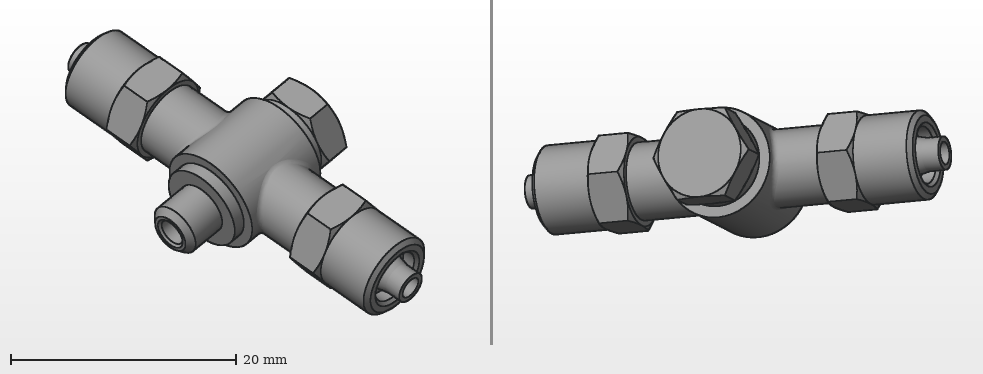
import cadquery as cq
import math


overall_length = 40.0
tip_x = overall_length / 2
hex_across_flats = 8.0
hex_chamfer_angle = 30.0

body_diameter = 10.0
body_length = 8.95
arm_diameter = 7.0
arm_fillet = 0.5
arm_bore_diameter = 2.05
selection_margin = 0.05

nut_hex_start_x = 9.3
nut_hex_length = 3.5
barb_protrusion = 1.6
nut_face_x = tip_x - barb_protrusion
nut_diameter = hex_across_flats
nut_chamfer_radial = 0.5
nut_chamfer_axial = 0.4
socket_diameter = 5.1
socket_depth = 1.6
socket_chamfer = 0.3
barb_tip_diameter = 3.0
barb_root_diameter = 3.7
barb_tip_length = barb_protrusion

washer_diameter = 8.0
washer_thickness = 1.2
head_height = 3.0
stud_diameter = 4.95
stud_length = 4.1
stud_chamfer = 0.65
stud_bore_diameter = 2.5
stud_bore_mouth_diameter = 3.0
stud_bore_end_y = arm_bore_diameter / 2

washer_end_y = body_length / 2 + washer_thickness
stud_tip_y = -washer_end_y - stud_length


def revolve_about_x(points):
    """Revolve an (x, radius) outline about the X axis."""
    return cq.Workplane("XY").polyline(points).close().revolve(360, (0, 0), (1, 0))


def revolve_about_y(points):
    """Revolve a (radius, y) outline about the Y axis."""
    return cq.Workplane("XY").polyline(points).close().revolve(360, (0, 0), (0, 1))


def cylinder_along_y(diameter, start_y, end_y):
    """Solid round bar on the Y axis."""
    radius = diameter / 2
    return revolve_about_y([(0, start_y), (radius, start_y), (radius, end_y), (0, end_y)])


def chamfered_hexagon(height):
    """Hexagon standing on Z = 0, corners along X, bevelled at both ends."""
    flat_radius = hex_across_flats / 2
    corner_radius = flat_radius / math.cos(math.pi / 6)
    bevel_height = (corner_radius - flat_radius) * math.tan(math.radians(hex_chamfer_angle))
    prism = cq.Workplane("XY").polygon(6, 2 * corner_radius).extrude(height)
    envelope = (
        cq.Workplane("XZ")
        .polyline([
            (0, 0),
            (flat_radius, 0),
            (corner_radius, bevel_height),
            (corner_radius, height - bevel_height),
            (flat_radius, height),
            (0, height),
        ])
        .close()
        .revolve(360, (0, 0), (0, 1))
    )
    return prism.intersect(envelope)


def make_body():
    """Round body with both arms blended into it."""
    body = cylinder_along_y(body_diameter, -body_length / 2, body_length / 2)
    arms = cq.Workplane("YZ").circle(arm_diameter / 2).extrude(nut_hex_start_x, both=True)
    body = body.union(arms)
    seam_reach = body_diameter / 2 + selection_margin
    seam_half_width = arm_diameter / 2 + selection_margin
    seams = cq.selectors.BoxSelector(
        (-seam_reach, -seam_half_width, -seam_reach),
        (seam_reach, seam_half_width, seam_reach),
        boundingbox=True,
    )
    return body.edges(seams).fillet(arm_fillet)


def make_arm_end():
    """Union nut and hose barb on the +X arm."""
    nut_radius = nut_diameter / 2
    socket_radius = socket_diameter / 2
    barb_tip_radius = barb_tip_diameter / 2
    barb_root_radius = barb_root_diameter / 2
    socket_floor_x = nut_face_x - socket_depth
    sleeve = revolve_about_x([
        (nut_hex_start_x, 0),
        (nut_hex_start_x, nut_radius),
        (nut_face_x - nut_chamfer_axial, nut_radius),
        (nut_face_x, nut_radius - nut_chamfer_radial),
        (nut_face_x, socket_radius + socket_chamfer),
        (nut_face_x - socket_chamfer, socket_radius),
        (socket_floor_x, socket_radius),
        (socket_floor_x, barb_root_radius),
        (tip_x - barb_tip_length, barb_tip_radius),
        (tip_x, barb_tip_radius),
        (tip_x, 0),
    ])
    hexagon = (
        chamfered_hexagon(nut_hex_length)
        .rotate((0, 0, 0), (0, 0, 1), 90)
        .rotate((0, 0, 0), (0, 1, 0), 90)
        .translate((nut_hex_start_x, 0, 0))
    )
    return sleeve.union(hexagon)


def make_bolt():
    """Washers, hexagon head on +Y and chamfered stud on -Y."""
    stud_radius = stud_diameter / 2
    washers = cylinder_along_y(washer_diameter, -washer_end_y, washer_end_y)
    head = (
        chamfered_hexagon(head_height)
        .rotate((0, 0, 0), (1, 0, 0), -90)
        .translate((0, washer_end_y, 0))
    )
    stud = revolve_about_y([
        (0, 0),
        (stud_radius, 0),
        (stud_radius, stud_tip_y + stud_chamfer),
        (stud_radius - stud_chamfer, stud_tip_y),
        (0, stud_tip_y),
    ])
    return washers.union(head).union(stud)


def make_stud_bore():
    """Blind bore of the stud with a bevelled mouth."""
    bore_radius = stud_bore_diameter / 2
    mouth_radius = stud_bore_mouth_diameter / 2
    return revolve_about_y([
        (0, stud_tip_y),
        (mouth_radius, stud_tip_y),
        (bore_radius, stud_tip_y + mouth_radius - bore_radius),
        (bore_radius, stud_bore_end_y),
        (0, stud_bore_end_y),
    ])


arm_end = make_arm_end()
arm_bore = cq.Workplane("YZ").circle(arm_bore_diameter / 2).extrude(tip_x, both=True)

result = (
    make_body()
    .union(arm_end)
    .union(arm_end.mirror("YZ"))
    .union(make_bolt())
    .cut(arm_bore)
    .cut(make_stud_bore())
)